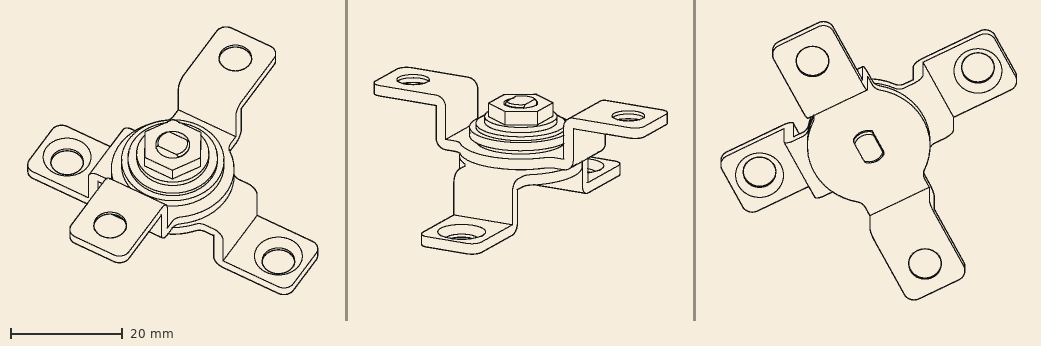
import cadquery as cq
import math

SPAN = 55.0
BRACKET_HEIGHT = 10.0
SHEET = 2.0
ARM_WIDTH = 12.0
DISC_RADIUS = 11.0
NECK_FILLET = 2.0
WALL_OUTER_X = 14.0
WALL_INNER_X = WALL_OUTER_X - SHEET
BEND_RADIUS = SHEET
FOOT_CORNER_RADIUS = 2.0

FOOT_HOLE_X = 22.0
FOOT_HOLE_DIAMETER = 5.85
COUNTERSINK_DIAMETER = 8.6
COUNTERSINK_ANGLE = 90.0

SPACER_RADIUS = 8.05
SPACER_HEIGHT = 1.0
WASHER_RADIUS = 9.2
WASHER_HEIGHT = 1.55
SPRING_RADIUS = SPACER_RADIUS
SPRING_EDGE_HEIGHT = 0.7
SPRING_CONE_HEIGHT = 0.3
FLANGE_RADIUS = 6.5
FLANGE_HEIGHT = 1.0
NUT_ACROSS_FLATS = 10.0
NUT_HEIGHT = 2.55

STUD_RADIUS = 3.0
STUD_FLATS_WIDTH = 3.8
STUD_BOTTOM_OVERHANG = 1.0
STUD_TOP_OVERHANG = 0.5
STUD_CHAMFER = 0.4

BASE_TOP_Z = BRACKET_HEIGHT
BASE_UNDERSIDE_Z = BASE_TOP_Z - SHEET
SWIVEL_UNDERSIDE_Z = BASE_TOP_Z + SPACER_HEIGHT
SWIVEL_TOP_Z = SWIVEL_UNDERSIDE_Z + SHEET
WASHER_BOTTOM_Z = SWIVEL_TOP_Z + SPACER_HEIGHT
SPRING_BOTTOM_Z = WASHER_BOTTOM_Z + WASHER_HEIGHT
FLANGE_BOTTOM_Z = SPRING_BOTTOM_Z + SPRING_EDGE_HEIGHT + SPRING_CONE_HEIGHT
NUT_BOTTOM_Z = FLANGE_BOTTOM_Z + FLANGE_HEIGHT
NUT_TOP_Z = NUT_BOTTOM_Z + NUT_HEIGHT
STUD_BOTTOM_Z = BASE_UNDERSIDE_Z - STUD_BOTTOM_OVERHANG
STUD_TOP_Z = NUT_TOP_Z + STUD_TOP_OVERHANG


def cylinder(radius, bottom_z, height):
    return cq.Workplane("XY").workplane(offset=bottom_z).circle(radius).extrude(height)


def bent_strip():
    """Strip along X with a raised middle, rounded outside and sharp inside at each bend."""
    half_span = SPAN / 2
    profile = (
        cq.Workplane("XZ")
        .moveTo(0, BASE_UNDERSIDE_Z)
        .lineTo(WALL_INNER_X, BASE_UNDERSIDE_Z)
        .lineTo(WALL_INNER_X, BEND_RADIUS)
        .radiusArc((WALL_INNER_X + BEND_RADIUS, 0), -BEND_RADIUS)
        .lineTo(half_span, 0)
        .lineTo(half_span, SHEET)
        .lineTo(WALL_OUTER_X, SHEET)
        .lineTo(WALL_OUTER_X, BASE_TOP_Z - BEND_RADIUS)
        .radiusArc((WALL_OUTER_X - BEND_RADIUS, BASE_TOP_Z), -BEND_RADIUS)
        .lineTo(0, BASE_TOP_Z)
        .close()
    )
    half_strip = profile.extrude(ARM_WIDTH / 2, both=True)
    strip = half_strip.union(half_strip.mirror("YZ"))
    return strip.edges("|Z").edges("<X or >X").fillet(FOOT_CORNER_RADIUS)


def neck_points():
    """Middles of the four vertical edges where the disc meets the arms."""
    neck_y = ARM_WIDTH / 2
    neck_x = math.sqrt(DISC_RADIUS**2 - neck_y**2)
    mid_z = BASE_UNDERSIDE_Z + SHEET / 2
    return [(side_x * neck_x, side_y * neck_y, mid_z) for side_x in (-1, 1) for side_y in (-1, 1)]


def bracket():
    """Bracket standing on its feet, feet along X, countersinks facing up."""
    body = bent_strip().union(cylinder(DISC_RADIUS, BASE_UNDERSIDE_Z, SHEET))
    for point in neck_points():
        body = body.edges(cq.selectors.NearestToPointSelector(point)).fillet(NECK_FILLET)
    foot_tops = cq.Workplane("XY").workplane(offset=SHEET)
    return (
        body.copyWorkplane(foot_tops)
        .pushPoints([(-FOOT_HOLE_X, 0), (FOOT_HOLE_X, 0)])
        .cskHole(FOOT_HOLE_DIAMETER, COUNTERSINK_DIAMETER, COUNTERSINK_ANGLE, depth=SHEET)
    )


def spring_washer():
    """Disc with a straight rim and a shallow cone rising to the nut flange."""
    rim_z = SPRING_BOTTOM_Z + SPRING_EDGE_HEIGHT
    return (
        cq.Workplane("XZ")
        .moveTo(0, SPRING_BOTTOM_Z)
        .lineTo(SPRING_RADIUS, SPRING_BOTTOM_Z)
        .lineTo(SPRING_RADIUS, rim_z)
        .lineTo(FLANGE_RADIUS, FLANGE_BOTTOM_Z)
        .lineTo(0, FLANGE_BOTTOM_Z)
        .close()
        .revolve(360, (0, 0, 0), (0, 1, 0))
    )


def flange_nut():
    """Hexagon with corners on the X axis, on a round flange, with a round bore."""
    corner_diameter = NUT_ACROSS_FLATS / math.cos(math.pi / 6)
    hexagon = (
        cq.Workplane("XY")
        .workplane(offset=NUT_BOTTOM_Z)
        .polygon(6, corner_diameter)
        .extrude(NUT_HEIGHT)
    )
    bore = cylinder(STUD_RADIUS, FLANGE_BOTTOM_Z, NUT_TOP_Z - FLANGE_BOTTOM_Z)
    return cylinder(FLANGE_RADIUS, FLANGE_BOTTOM_Z, FLANGE_HEIGHT).union(hexagon).cut(bore)


def stud_flats(bottom_z, top_z):
    """Rectangular block whose long sides set the two flats of a stud end."""
    return (
        cq.Workplane("XY")
        .workplane(offset=bottom_z)
        .rect(2 * STUD_RADIUS, STUD_FLATS_WIDTH)
        .extrude(top_z - bottom_z)
    )


def stud():
    """Round stud, chamfered at both ends, flattened inside the nut and below the base plate."""
    rod = cylinder(STUD_RADIUS, STUD_BOTTOM_Z, STUD_TOP_Z - STUD_BOTTOM_Z)
    rod = rod.faces("<Z or >Z").edges().chamfer(STUD_CHAMFER)
    shank = cylinder(STUD_RADIUS, BASE_UNDERSIDE_Z, FLANGE_BOTTOM_Z - BASE_UNDERSIDE_Z)
    envelope = (
        shank.union(stud_flats(STUD_BOTTOM_Z, BASE_UNDERSIDE_Z))
        .union(stud_flats(FLANGE_BOTTOM_Z, STUD_TOP_Z))
    )
    return rod.intersect(envelope)


def base_with_pivot():
    """Base bracket in one piece with the stud and everything clamped on it."""
    return (
        bracket()
        .union(stud())
        .union(cylinder(SPACER_RADIUS, BASE_TOP_Z, SPACER_HEIGHT))
        .union(cylinder(SPACER_RADIUS, SWIVEL_TOP_Z, SPACER_HEIGHT))
        .union(cylinder(WASHER_RADIUS, WASHER_BOTTOM_Z, WASHER_HEIGHT))
        .union(spring_washer())
        .union(flange_nut())
    )


def swivel_bracket():
    """Bracket turned over and crossed with the base, bored to turn on the stud."""
    bored = bracket().cut(cylinder(STUD_RADIUS, BASE_UNDERSIDE_Z, SHEET))
    turned_over = bored.rotate((0, 0, 0), (1, 0, 0), 180).rotate((0, 0, 0), (0, 0, 1), 90)
    return turned_over.translate((0, 0, SWIVEL_UNDERSIDE_Z + BRACKET_HEIGHT))


base = base_with_pivot()
swivel = swivel_bracket()

result = cq.Compound.makeCompound([base.val(), swivel.val()])